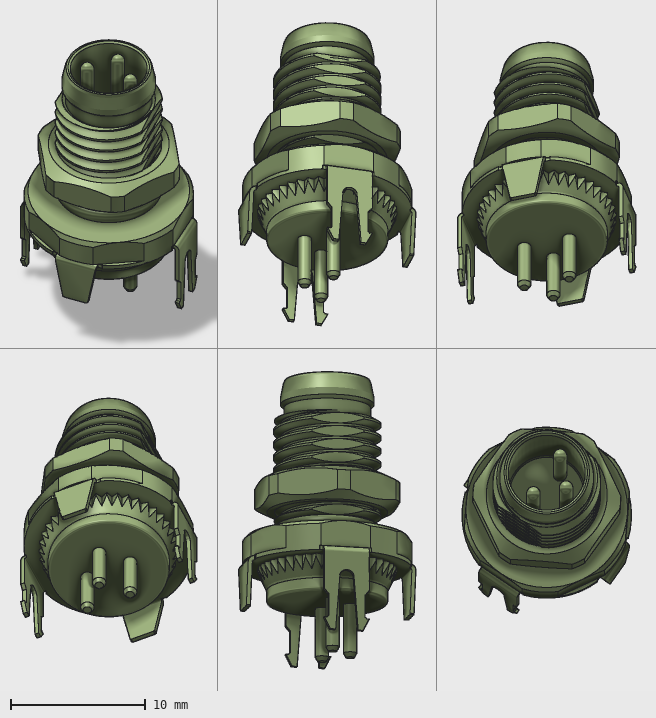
import cadquery as cq
import math


TOP = 21.0
NECK_TOP = 18.96
THREAD_TOP = 18.02
NUT_TOP = 13.52
NUT_BOTTOM = 10.98
THREAD_BOTTOM = 10.02
FLANGE_TOP = 8.99
WASHER_TOP = 7.01
CONE_BOTTOM = 5.1
BASE_BOTTOM = 4.03

NECK_RADIUS = 3.23
CAP_RADIUS = 3.49
CAP_SHOULDER_RADIUS = 3.28
CAP_SHOULDER_DROP = 0.23
CAP_EDGE = 0.1
CAP_TAPER_BOTTOM = 19.75
CAP_BOTTOM = 19.22
BORE_RADIUS = 2.85
BORE_DEPTH = 6.93
BORE_MOUTH_CHAMFER = 0.17
BORE_MOUTH_DROP = 0.1
BORE_FLOOR_CHAMFER = 0.1

THREAD_TURNS = 8
PITCH = (THREAD_TOP - THREAD_BOTTOM) / THREAD_TURNS
THREAD_RADIUS = 4.01
ROOT_RADIUS = 3.46
THREAD_FLAT = 3.49
CREST_WIDTH = 0.17
ROOT_WIDTH = 0.17
THREAD_PHASE = 0.42
SPARE_TURNS = 2
ROOT_OVERLAP = 0.08
THREAD_LEAD_HEIGHT = 0.3
THREAD_RECESS_DEPTH = 0.17

NUT_ACROSS_FLATS = 10.0
NUT_RADIUS = 5.5
NUT_FACE_RADIUS = 4.5
NUT_CHAMFER_HEIGHT = 0.52
NUT_BORE_RADIUS = 3.93

FLANGE_RADIUS = 6.3
FLANGE_FLAT = 6.0

CONE_BOTTOM_RADIUS = 4.55
CONE_TOP_RADIUS = 5.3
BASE_RADIUS = 4.52
BASE_SHOULDER = 0.13
BASE_FILLET = 0.25
TOOTH_COUNT = 40
TOOTH_TIP_RADIUS = 5.19
TOOTH_ROOT_RADIUS = 4.79

SHEET = 0.32
TAB_REACH = 6.4
BEND_RADIUS = 0.48
WASHER_BOTTOM = WASHER_TOP - SHEET
TAB_ROOT = TAB_REACH - BEND_RADIUS
SNAP_HALF_WIDTH = 1.72
SNAP_BOTTOM = 0.59
SNAP_NOTCH = 0.25
PLAIN_HALF_WIDTH = 1.65
PLAIN_TIP_HALF_WIDTH = 0.99
PLAIN_BOTTOM = 3.32
PLAIN_CORNER = 0.08
PLAIN_NOTCH = 0.34

PIN_RADIUS = 0.5
PIN_CIRCLE_RADIUS = 1.75
PIN_TOP = 20.77
PIN_CHAMFER_HEIGHT = 0.34
PIN_CHAMFER_DEPTH = 0.19
PIN_ANGLES = (0, 90, 180)


def disc(radius, bottom, top):
    return cq.Workplane("XY").workplane(offset=bottom).circle(radius).extrude(top - bottom)


def revolved(points):
    """Turn an outline of (radius, height) points around the Z axis."""
    return cq.Workplane("XZ").polyline(points).close().revolve(360, (0, 0), (0, 1))


def hexagon(across_flats, bottom, top):
    """Hexagonal prism with corners on the X axis."""
    across_corners = across_flats / math.cos(math.pi / 6)
    return cq.Workplane("XY").workplane(offset=bottom).polygon(6, across_corners).extrude(top - bottom)


def make_plug():
    return revolved([
        (0, FLANGE_TOP),
        (NECK_RADIUS, FLANGE_TOP),
        (NECK_RADIUS, NECK_TOP),
        (CAP_RADIUS, CAP_BOTTOM),
        (CAP_RADIUS, CAP_TAPER_BOTTOM),
        (CAP_SHOULDER_RADIUS, TOP - CAP_SHOULDER_DROP),
        (CAP_SHOULDER_RADIUS - CAP_EDGE, TOP),
        (0, TOP),
    ])


def make_bore():
    floor = TOP - BORE_DEPTH
    return revolved([
        (0, floor),
        (BORE_RADIUS - BORE_FLOOR_CHAMFER, floor),
        (BORE_RADIUS, floor + BORE_FLOOR_CHAMFER),
        (BORE_RADIUS, TOP - BORE_MOUTH_DROP),
        (BORE_RADIUS + BORE_MOUTH_CHAMFER, TOP),
        (0, TOP),
    ])


def make_thread():
    """Right-hand thread ridge on its core, cut off at both ends and at two flats.

    The lower end has a conical lead, and the upper end a shallow recess around the neck.
    """
    start = THREAD_BOTTOM - SPARE_TURNS * PITCH + THREAD_PHASE
    helix_height = (THREAD_TURNS + 2 * SPARE_TURNS) * PITCH
    half_crest = CREST_WIDTH / 2
    half_base = (PITCH - ROOT_WIDTH) / 2
    inner_radius = ROOT_RADIUS - ROOT_OVERLAP
    flank_slope = (half_base - half_crest) / (THREAD_RADIUS - ROOT_RADIUS)
    half_inner = half_base + flank_slope * ROOT_OVERLAP
    helix = cq.Wire.makeHelix(PITCH, helix_height, ROOT_RADIUS, cq.Vector(0, 0, start))
    ridge = (
        cq.Workplane("XZ")
        .polyline([
            (inner_radius, start - half_inner),
            (THREAD_RADIUS, start - half_crest),
            (THREAD_RADIUS, start + half_crest),
            (inner_radius, start + half_inner),
        ])
        .close()
        .sweep(cq.Workplane(helix), isFrenet=True)
    )
    core = disc(ROOT_RADIUS, start - PITCH, start + helix_height + PITCH)
    limit_radius = 2 * THREAD_RADIUS - THREAD_FLAT
    limits = revolved([
        (0, THREAD_BOTTOM),
        (THREAD_FLAT, THREAD_BOTTOM),
        (limit_radius, THREAD_BOTTOM + 2 * THREAD_LEAD_HEIGHT),
        (limit_radius, THREAD_TOP),
        (0, THREAD_TOP),
    ])
    flats = cq.Workplane("XY").box(2 * THREAD_FLAT, 3 * THREAD_RADIUS, 3 * THREAD_TOP)
    recess = disc(ROOT_RADIUS, THREAD_TOP - THREAD_RECESS_DEPTH, THREAD_TOP)
    return core.union(ridge).intersect(limits.intersect(flats)).cut(recess)


def make_nut():
    rounding = revolved([
        (NUT_BORE_RADIUS, NUT_BOTTOM),
        (NUT_FACE_RADIUS, NUT_BOTTOM),
        (NUT_RADIUS, NUT_BOTTOM + NUT_CHAMFER_HEIGHT),
        (NUT_RADIUS, NUT_TOP - NUT_CHAMFER_HEIGHT),
        (NUT_FACE_RADIUS, NUT_TOP),
        (NUT_BORE_RADIUS, NUT_TOP),
    ])
    return hexagon(NUT_ACROSS_FLATS, NUT_BOTTOM, NUT_TOP).intersect(rounding)


def make_seal():
    """O-ring in the gap between flange and thread, solid as far as the axis."""
    cord_radius = (THREAD_BOTTOM - FLANGE_TOP) / 2
    centre_radius = THREAD_RADIUS - cord_radius
    return (
        cq.Workplane("XZ")
        .moveTo(0, FLANGE_TOP)
        .lineTo(centre_radius, FLANGE_TOP)
        .threePointArc((THREAD_RADIUS, FLANGE_TOP + cord_radius), (centre_radius, THREAD_BOTTOM))
        .lineTo(0, THREAD_BOTTOM)
        .close()
        .revolve(360, (0, 0), (0, 1))
    )


def make_flange():
    rounded = disc(FLANGE_RADIUS, WASHER_TOP, FLANGE_TOP).faces(">Z").chamfer(FLANGE_RADIUS - FLANGE_FLAT)
    flats = hexagon(2 * FLANGE_FLAT, WASHER_TOP, FLANGE_TOP).rotate((0, 0, 0), (0, 0, 1), 30)
    return rounded.intersect(flats)


def make_base():
    """Insulator: a toothed cone on a short cylinder with a rounded lower edge."""
    half_step = math.pi / TOOTH_COUNT
    tooth_points = []
    for index in range(2 * TOOTH_COUNT):
        radius = TOOTH_TIP_RADIUS if index % 2 else TOOTH_ROOT_RADIUS
        angle = index * half_step
        tooth_points.append((radius * math.cos(angle), radius * math.sin(angle)))
    teeth = (
        cq.Workplane("XY")
        .workplane(offset=CONE_BOTTOM)
        .polyline(tooth_points)
        .close()
        .extrude(WASHER_TOP - CONE_BOTTOM)
    )
    cone = revolved([
        (0, CONE_BOTTOM),
        (CONE_BOTTOM_RADIUS, CONE_BOTTOM),
        (CONE_TOP_RADIUS, WASHER_BOTTOM),
        (CONE_TOP_RADIUS, WASHER_TOP),
        (0, WASHER_TOP),
    ])
    shoulder = revolved([
        (0, CONE_BOTTOM - BASE_SHOULDER),
        (BASE_RADIUS, CONE_BOTTOM - BASE_SHOULDER),
        (CONE_BOTTOM_RADIUS, CONE_BOTTOM),
        (0, CONE_BOTTOM),
    ])
    cylinder = disc(BASE_RADIUS, BASE_BOTTOM, CONE_BOTTOM - BASE_SHOULDER)
    cylinder = cylinder.faces("<Z").edges().fillet(BASE_FILLET)
    return cone.intersect(teeth).union(shoulder).union(cylinder)


def mirrored_outline(half_points):
    """Closed outline from the points of its right half, listed from top to bottom."""
    left = [(-x, z) for x, z in reversed(half_points)]
    return half_points + left


def bent_tab(outline):
    """Sheet bent down at the +X side of the washer, trimmed to an outline in the YZ plane."""
    half_width = max(y for y, _ in outline)
    bottom = min(z for _, z in outline)
    strip = (
        cq.Workplane("XZ")
        .moveTo(TAB_ROOT - SHEET, WASHER_TOP)
        .lineTo(TAB_ROOT, WASHER_TOP)
        .radiusArc((TAB_REACH, WASHER_TOP - BEND_RADIUS), BEND_RADIUS)
        .lineTo(TAB_REACH, bottom)
        .lineTo(TAB_REACH - SHEET, bottom)
        .lineTo(TAB_REACH - SHEET, WASHER_TOP - BEND_RADIUS)
        .radiusArc((TAB_ROOT, WASHER_BOTTOM), SHEET - BEND_RADIUS)
        .lineTo(TAB_ROOT - SHEET, WASHER_BOTTOM)
        .close()
        .extrude(half_width, both=True)
    )
    plate = cq.Workplane("YZ").polyline(outline).close().extrude(TAB_REACH + SHEET)
    return strip.intersect(plate)


def make_snap_tab():
    """Two-legged tab with barbs, split by a tapered slot with a round top."""
    leg = 1.39
    tip = 1.25
    barb_top = 1.5
    barb_relief = 0.13
    neck_top = 3.65
    neck_bottom = 3.25
    tab = bent_tab(mirrored_outline([
        (SNAP_HALF_WIDTH, WASHER_TOP),
        (SNAP_HALF_WIDTH, neck_top),
        (leg, neck_bottom),
        (leg, barb_top + barb_relief),
        (leg + barb_relief, barb_top),
        (SNAP_HALF_WIDTH, barb_top),
        (tip, SNAP_BOTTOM),
    ]))
    slot_bottom_half = 0.86
    slot_top_half = 0.55
    slot_top = 5.17
    arc_start = slot_top - slot_top_half
    slot = (
        cq.Workplane("YZ")
        .moveTo(slot_bottom_half, SNAP_BOTTOM)
        .lineTo(slot_top_half, arc_start)
        .threePointArc((0, slot_top), (-slot_top_half, arc_start))
        .lineTo(-slot_bottom_half, SNAP_BOTTOM)
        .close()
        .extrude(TAB_REACH + SHEET)
    )
    return tab.cut(slot)


def make_plain_tab():
    tab = bent_tab(mirrored_outline([
        (PLAIN_HALF_WIDTH, WASHER_TOP),
        (PLAIN_TIP_HALF_WIDTH, PLAIN_BOTTOM),
    ]))
    return tab.edges("|X and <Z").chamfer(PLAIN_CORNER)


def tab_clearance(half_width, notch):
    """Part of the washer rim that makes way for a tab and the notches beside it."""
    return cq.Workplane("XY").box(
        FLANGE_RADIUS, 2 * (half_width + notch), SHEET, centered=(False, True, False)
    ).translate((TAB_ROOT, 0, WASHER_BOTTOM))


def make_washer():
    washer = disc(FLANGE_RADIUS, WASHER_BOTTOM, WASHER_TOP)
    snap_tab = make_snap_tab()
    plain_tab = make_plain_tab()
    snap_clearance = tab_clearance(SNAP_HALF_WIDTH, SNAP_NOTCH)
    plain_clearance = tab_clearance(PLAIN_HALF_WIDTH, PLAIN_NOTCH)
    for angle, tab, clearance in (
        (0, snap_tab, snap_clearance),
        (90, plain_tab, plain_clearance),
        (180, snap_tab, snap_clearance),
        (270, plain_tab, plain_clearance),
    ):
        washer = washer.cut(clearance.rotate((0, 0, 0), (0, 0, 1), angle))
        washer = washer.union(tab.rotate((0, 0, 0), (0, 0, 1), angle))
    return washer


def make_pin():
    """Pin on the Z axis with a bevelled solder end and a round contact end."""
    dome_start = PIN_TOP - PIN_RADIUS
    diagonal = PIN_RADIUS * math.sqrt(0.5)
    return (
        cq.Workplane("XZ")
        .moveTo(0, 0)
        .lineTo(PIN_RADIUS - PIN_CHAMFER_DEPTH, 0)
        .lineTo(PIN_RADIUS, PIN_CHAMFER_HEIGHT)
        .lineTo(PIN_RADIUS, dome_start)
        .threePointArc((diagonal, dome_start + diagonal), (0, PIN_TOP))
        .close()
        .revolve(360, (0, 0), (0, 1))
    )


body = make_plug().union(make_seal()).union(make_flange()).union(make_base()).union(make_washer())
body = body.union(make_nut().union(make_thread())).cut(make_bore())
pin = make_pin()
for pin_angle in PIN_ANGLES:
    body = body.union(pin.translate((PIN_CIRCLE_RADIUS, 0, 0)).rotate((0, 0, 0), (0, 0, 1), pin_angle))

result = body